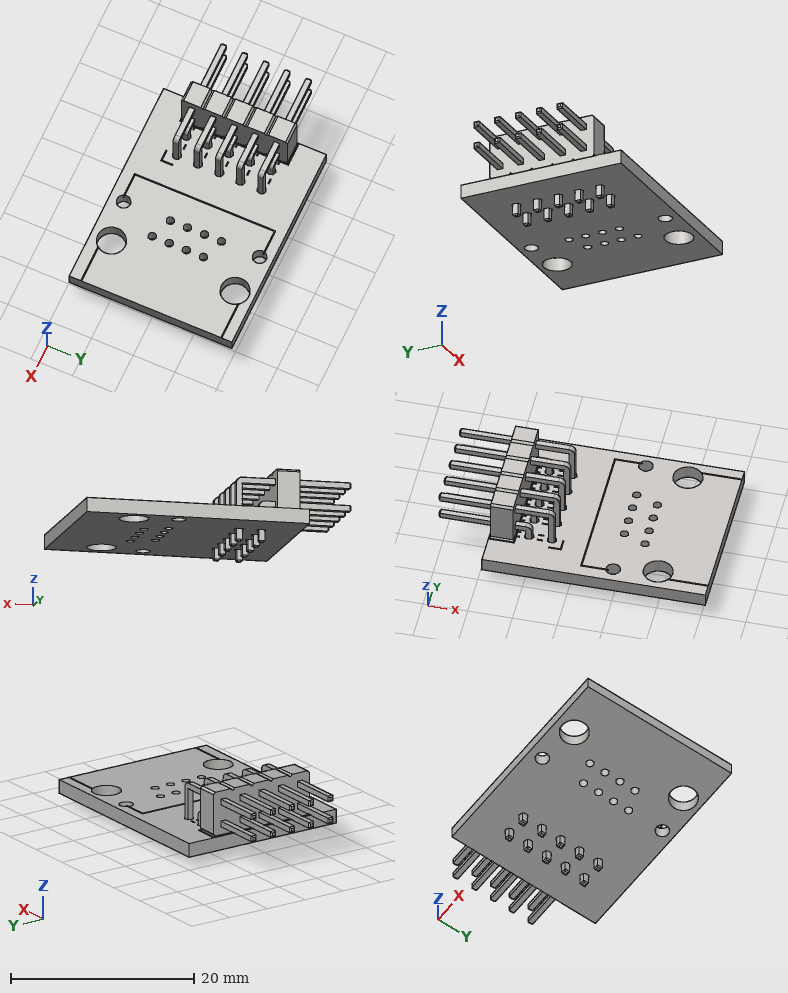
import cadquery as cq

board_length = 25.0
board_width = 19.5
board_thickness = 1.6

pins_per_row = 5
pin_row_span = 10.15
pitch = pin_row_span / (pins_per_row - 1)
pin_ys = [(i - (pins_per_row - 1) / 2) * pitch for i in range(pins_per_row)]
pin_size = 0.65
pin_tip_chamfer = 0.15
pin_reach = 5.8
pin_bottom_z = -2.93
header_hole_diameter = 1.0

housing_left_x = 0.22
housing_right_x = housing_left_x + pitch
housing_bottom_z = 0.05
housing_height = 2 * pitch
housing_chamfer = 0.25
housing_to_near_row = 1.5
near_row_x = housing_right_x + housing_to_near_row
far_row_x = near_row_x + pitch
lower_pin_z = housing_bottom_z + pitch / 2
upper_pin_z = lower_pin_z + pitch

jack_y = 0.1
contacts_per_row = 4
contact_row_span = 6.13
contact_pitch = contact_row_span / (contacts_per_row - 1)
contact_row_x = 14.32
contact_hole_diameter = 0.9
locating_hole_diameter = 1.57
locating_hole_spacing = 16.3
mounting_hole_x = 19.18
mounting_hole_diameter = 3.25
mounting_hole_spacing = 14.8

mark_width = 0.12
mark_height = 0.03
jack_frame_left_x = 10.8
jack_frame_width = 16.78
jack_frame_gap_start_x = 13.8
jack_frame_gap_end_x = 20.55
housing_frame_offset = 0.1
tick_offset_y = 0.37
near_tick_end_x = 3.2
middle_tick_length = 0.45


def drill(body, points, diameter):
    """Cut through holes of one diameter into the board."""
    tool = (
        cq.Workplane("XY", origin=(0, 0, -board_thickness))
        .pushPoints(points)
        .circle(diameter / 2)
        .extrude(board_thickness)
    )
    return body.cut(tool)


def mark(x1, y1, x2, y2):
    """Raised line along X or Y whose ends reach half a line width past both points."""
    return (
        cq.Workplane("XY", origin=((x1 + x2) / 2, (y1 + y2) / 2, 0))
        .rect(abs(x2 - x1) + mark_width, abs(y2 - y1) + mark_width)
        .extrude(mark_height)
    )


def jack_marks():
    """Frame around the jack, interrupted at the locating and mounting holes."""
    half_width = jack_frame_width / 2
    bottom_y = jack_y - half_width
    top_y = jack_y + half_width
    right_x = board_length - mark_width / 2
    marks = [mark(jack_frame_left_x, bottom_y, jack_frame_left_x, top_y)]
    for y in (bottom_y, top_y):
        marks.append(mark(jack_frame_left_x, y, jack_frame_gap_start_x, y))
        marks.append(mark(jack_frame_gap_end_x, y, right_x, y))
    return marks


def header_marks():
    """Frame around the housing, ticks beside the pins and the first-pin corner."""
    left_x = housing_left_x - housing_frame_offset
    right_x = housing_right_x + housing_frame_offset
    half_width = pins_per_row * pitch / 2 + housing_frame_offset
    marks = [mark(x, -half_width, x, half_width) for x in (left_x, right_x)]
    marks += [mark(left_x, y, right_x, y) for y in (-half_width, half_width)]

    middle_x = (near_row_x + far_row_x) / 2
    half_tick = middle_tick_length / 2
    for pin_y in pin_ys:
        for y in (pin_y - tick_offset_y, pin_y + tick_offset_y):
            marks.append(mark(right_x, y, near_tick_end_x, y))
            marks.append(mark(middle_x - half_tick, y, middle_x + half_tick, y))

    corner_x = far_row_x + pitch / 2
    corner_y = pin_ys[0] - pitch / 2
    marks.append(mark(far_row_x, corner_y, corner_x, corner_y))
    marks.append(mark(corner_x, corner_y, corner_x, pin_ys[0]))
    return marks


def make_board():
    """Drilled board with its raised marking lines."""
    board = (
        cq.Workplane("XY", origin=(0, 0, -board_thickness))
        .box(board_length, board_width, board_thickness, centered=(False, True, False))
    )

    header_holes = [(x, y) for x in (near_row_x, far_row_x) for y in pin_ys]
    board = drill(board, header_holes, header_hole_diameter)

    contact_holes = []
    for i in range(contacts_per_row):
        row_y = jack_y + (i - (contacts_per_row - 1) / 2) * contact_pitch
        contact_holes.append((contact_row_x, row_y + contact_pitch / 4))
        contact_holes.append((contact_row_x + pitch, row_y - contact_pitch / 4))
    board = drill(board, contact_holes, contact_hole_diameter)

    for x, spacing, diameter in (
        (contact_row_x, locating_hole_spacing, locating_hole_diameter),
        (mounting_hole_x, mounting_hole_spacing, mounting_hole_diameter),
    ):
        holes = [(x, jack_y + side * spacing / 2) for side in (-1, 1)]
        board = drill(board, holes, diameter)

    for line in jack_marks() + header_marks():
        board = board.union(line)
    return board


def make_pin(row_x, axis_z, y):
    """Square pin bent down through the board, sharp inside and round outside the bend."""
    half = pin_size / 2
    return (
        cq.Workplane("XZ", origin=(0, y + half, 0))
        .moveTo(-pin_reach, axis_z + half)
        .lineTo(row_x - half, axis_z + half)
        .radiusArc((row_x + half, axis_z - half), pin_size)
        .lineTo(row_x + half, pin_bottom_z)
        .lineTo(row_x - half, pin_bottom_z)
        .lineTo(row_x - half, axis_z - half)
        .lineTo(-pin_reach, axis_z - half)
        .close()
        .extrude(pin_size)
        .faces("<X or <Z")
        .chamfer(pin_tip_chamfer)
    )


def make_housing_segment(y):
    """One pitch of the housing, its four edges along X chamfered."""
    return (
        cq.Workplane("XY")
        .box(pitch, pitch, housing_height, centered=(False, True, False))
        .edges("|X")
        .chamfer(housing_chamfer)
        .translate((housing_left_x, y, housing_bottom_z))
    )


def make_header():
    """Housing segments and both rows of bent pins as one body."""
    header = make_housing_segment(pin_ys[0])
    for y in pin_ys[1:]:
        header = header.union(make_housing_segment(y))
    for y in pin_ys:
        header = header.union(make_pin(near_row_x, lower_pin_z, y))
        header = header.union(make_pin(far_row_x, upper_pin_z, y))
    return header


board = make_board()
header = make_header()
result = cq.Compound.makeCompound([*board.solids().vals(), *header.solids().vals()])